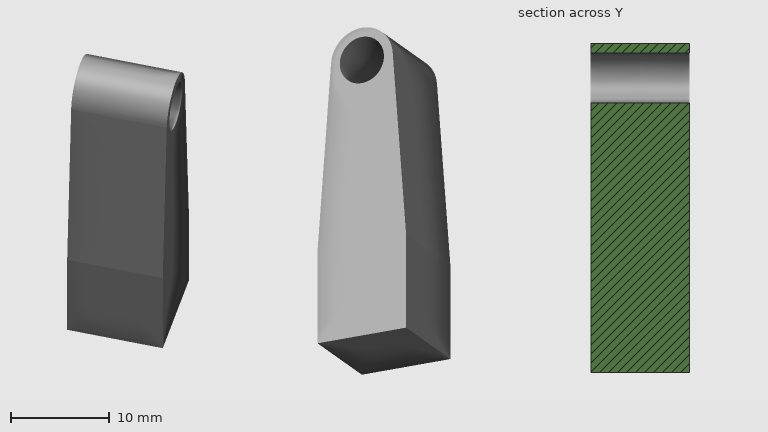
import cadquery as cq
import math

height = 33.25
width = 10.0
depth = 10.0
base_height = 10.0
eye_radius = 3.5
bore_diameter = 5.0

eye_z = height - eye_radius
half_depth = depth / 2
rise = eye_z - base_height
corner_distance = math.hypot(half_depth, rise)
tangent_angle = math.acos(eye_radius / corner_distance) - math.atan2(rise, half_depth)
tangent_y = eye_radius * math.cos(tangent_angle)
tangent_z = eye_z + eye_radius * math.sin(tangent_angle)

body = (
    cq.Workplane("YZ")
    .moveTo(-half_depth, 0)
    .lineTo(half_depth, 0)
    .lineTo(half_depth, base_height)
    .lineTo(tangent_y, tangent_z)
    .threePointArc((0, height), (-tangent_y, tangent_z))
    .lineTo(-half_depth, base_height)
    .close()
    .extrude(width / 2, both=True)
)

bore = (
    cq.Workplane("YZ")
    .center(0, eye_z)
    .circle(bore_diameter / 2)
    .extrude(width, both=True)
)

result = body.cut(bore)